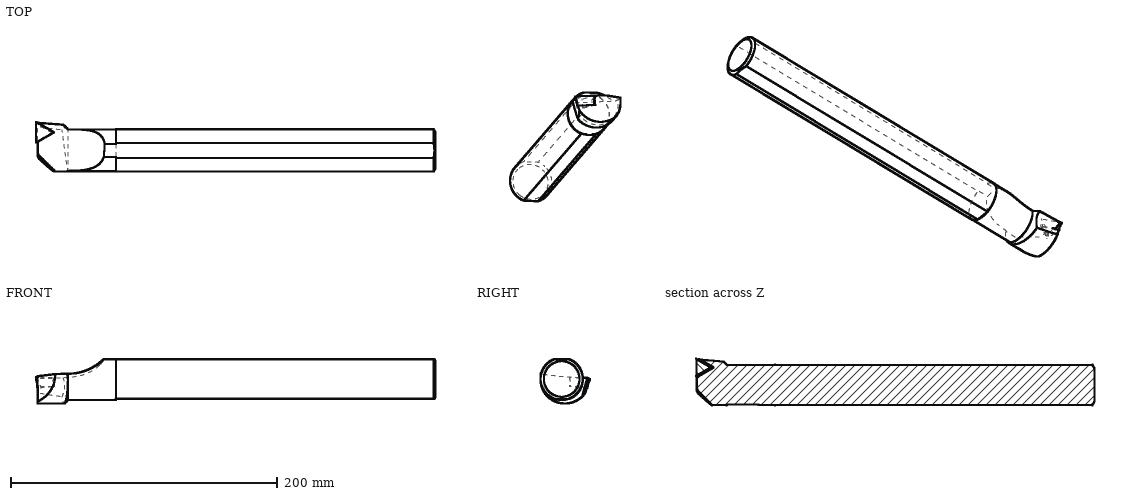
import cadquery as cq
import math


overall_length = 300.0
shank_radius = 16.0
flat_height = 15.0
end_chamfer_length = 2.6
end_chamfer_depth = 1.5

neck_radius = 15.8
neck_end = 60.0

tip_reach = 21.42
head_radius = 18.49
head_center_y = head_radius - shank_radius
head_front = 1.2
head_back = 24.1
head_wall_top = 8.0
head_cone_length = 8.0

side_rake = math.radians(5.0)
back_rake = math.radians(2.0)
gullet_start = 26.0
gullet_radius = 35.0

flank_setback = 0.5
flank_plan_angle = 5.0
flank_relief_angle = 16.0
corner_start_y = -3.0
corner_plan_angle = 45.0
corner_relief_angle = 5.0
corner_fillet = 5.0
corner_search = 4.0

insert_side = 15.7
insert_thickness = 3.97
insert_clearance = 11.0
seat_thickness = 3.0

cutter_size = 80.0


tip = cq.Vector(0, tip_reach, 0)
rake_normal = cq.Vector(-math.tan(back_rake), math.tan(side_rake), 1).normalized()
rake_across = cq.Vector(0, 1, -math.tan(side_rake)).normalized()
rake_along = rake_across.cross(rake_normal)
rake_plane = cq.Plane(origin=tip, xDir=rake_along, normal=rake_normal)
gullet_plane = cq.Plane(origin=tip, xDir=rake_along, normal=rake_across * -1)


def disc_bar(radius, start, end):
    return cq.Workplane("YZ").workplane(offset=start).circle(radius).extrude(end - start)


def make_shank():
    shank = disc_bar(shank_radius, neck_end, overall_length)
    shank = shank.faces(">X").chamfer(end_chamfer_depth, end_chamfer_length)
    between_flats = cq.Workplane("XY").box(2 * overall_length, cutter_size, 2 * flat_height)
    return shank.intersect(between_flats)


def make_neck():
    neck = disc_bar(neck_radius, head_front, neck_end)
    above_flat = cq.Workplane("XY").workplane(offset=flat_height)
    return neck.cut(above_flat.rect(2 * overall_length, cutter_size).extrude(cutter_size))


def make_head():
    """Round-bottomed block, ended at the back by a 45 degree cone around the bar axis."""
    left = head_center_y + head_radius
    right = head_center_y - head_radius
    block = (
        cq.Workplane("YZ").workplane(offset=head_front)
        .moveTo(right, head_wall_top)
        .lineTo(right, 0)
        .threePointArc((head_center_y, -head_radius), (left, 0))
        .lineTo(left, head_wall_top)
        .close()
        .extrude(head_back - head_front)
    )
    cone_start = head_back - head_cone_length
    cone = (
        cq.Workplane("XY")
        .moveTo(head_front, 0)
        .lineTo(head_front, neck_radius + head_cone_length)
        .lineTo(cone_start, neck_radius + head_cone_length)
        .lineTo(head_back, neck_radius)
        .lineTo(head_back, 0)
        .close()
        .revolve(360, (0, 0, 0), (1, 0, 0))
    )
    return block.intersect(cone)


def half_space(origin, outward):
    """Large block filling the side of a plane that its outward normal points to."""
    plane = cq.Plane(origin=origin, normal=outward)
    return cq.Workplane(plane).rect(cutter_size, cutter_size).extrude(cutter_size)


def relief_normal(plan_x, plan_y, relief_angle):
    """Outward normal with the given plan direction, tipped by the relief angle in Z."""
    relief = math.radians(relief_angle)
    return cq.Vector(plan_x * math.cos(relief), plan_y * math.cos(relief), -math.sin(relief))


def flank_cutter():
    angle = math.radians(flank_plan_angle)
    normal = relief_normal(math.sin(angle), math.cos(angle), flank_relief_angle)
    return half_space((0, tip_reach - flank_setback, 0), normal)


def corner_cutter():
    """Bevel leaning outward toward the bottom."""
    angle = math.radians(corner_plan_angle)
    normal = relief_normal(-math.sin(angle), -math.cos(angle), -corner_relief_angle)
    return half_space((head_front, corner_start_y, 0), normal)


def gullet_cutter():
    """Everything above the rake plane, which runs out in an arc tangent to it."""
    return (
        cq.Workplane(gullet_plane)
        .moveTo(-cutter_size, 0)
        .lineTo(gullet_start, 0)
        .radiusArc((gullet_start + gullet_radius, gullet_radius), -gullet_radius)
        .lineTo(-cutter_size, gullet_radius)
        .close()
        .extrude(cutter_size, both=True)
    )


def insert_triangle(offset):
    """Equilateral triangle with its cutting edge on the front and one corner at the tip."""
    depth = insert_side * math.sqrt(3) / 2
    points = [(0, 0), (0, -insert_side), (depth, -insert_side / 2)]
    return cq.Workplane(rake_plane).workplane(offset=offset).polyline(points).close()


def make_pocket():
    return insert_triangle(0).extrude(-(insert_thickness + seat_thickness))


def make_insert():
    """Tapered cutting plate on a straight-sided seat of its lower outline."""
    plate = insert_triangle(0).extrude(-insert_thickness, taper=insert_clearance)
    seat = plate.faces("<Z").wires().toPending().workplane().extrude(seat_thickness, combine=False)
    return plate.union(seat)


def make_holder():
    head = make_head().union(make_neck())
    head = head.cut(flank_cutter()).cut(corner_cutter())
    front_corner = cq.selectors.BoxSelector(
        (head_front - corner_search, corner_start_y - corner_search, -cutter_size),
        (head_front + corner_search, corner_start_y + corner_search, cutter_size),
    )
    head = head.edges(front_corner).fillet(corner_fillet)
    return head.union(make_shank()).cut(gullet_cutter()).cut(make_pocket())


holder = make_holder()
insert = make_insert()

result = cq.Compound.makeCompound([holder.solids().val(), insert.solids().val()])